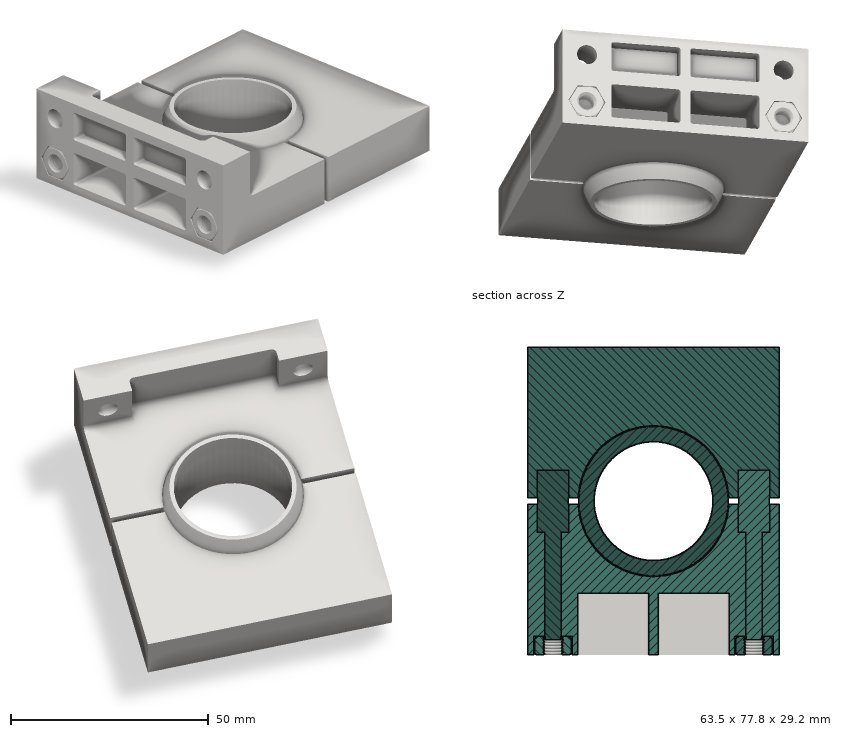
import cadquery as cq
import math


block_width = 63.5
block_length = 77.85
block_thickness = 12.7
split_gap = 1.5
half_length = (block_length - split_gap) / 2
front_y = -block_length / 2
bottom_z = -block_thickness / 2
top_z = block_thickness / 2

wall_thickness = 10.1
wall_height = 2 * block_thickness
wall_back_y = front_y + wall_thickness
relief_width = 38.2
relief_depth = 3.8
root_fillet = 1.25

bolt_spacing = 50.75
mounting_hole_diameter = 5.1
mounting_hole_z = block_thickness
pocket_width = 17.8
pocket_rib = 2.6
pocket_corner_radius = 0.6
pocket_x = (pocket_width + pocket_rib) / 2
lower_pocket_height = 9.0
lower_pocket_floor = 2.5
lower_pocket_depth = 15.6
upper_pocket_height = 7.8
upper_pocket_floor = 15.2
upper_pocket_depth = 3.9

sphere_radius = 19.0
bushing_height = 20.3
bushing_bore = 29.9

nut_across_flats = 8.0
nut_clearance = 0.2
nut_pocket_across_flats = nut_across_flats + nut_clearance
nut_height = 4.7
nut_chamfer_angle = 30.0
thread_major = 5.0
thread_minor = 4.1
thread_pitch = 0.8

shoulder_diameter = 7.95
shoulder_length = 15.6
nut_engagement = 0.8
nut_back_y = front_y + nut_height
bolt_tip_y = nut_back_y - nut_engagement

bolt_xs = (-bolt_spacing / 2, bolt_spacing / 2)


def box_between(x_range, y_range, z_range):
    """Box spanning the given ranges along X, Y and Z."""
    (x0, x1), (y0, y1), (z0, z1) = x_range, y_range, z_range
    return cq.Workplane("XY").box(x1 - x0, y1 - y0, z1 - z0, centered=False).translate((x0, y0, z0))


def along_y(start_y):
    """Sketch plane at start_y with X to the right and Z up; a negative extrusion goes toward +Y."""
    return cq.Workplane("XZ", origin=(0, start_y, 0))


def rod(x, z, diameter, start_y, end_y):
    """Cylinder along Y."""
    return along_y(start_y).center(x, z).circle(diameter / 2).extrude(start_y - end_y)


def hex_prism(x, across_flats, length):
    """Hexagonal prism reaching inward from the front face, with two flats level."""
    across_corners = across_flats / math.cos(math.radians(30))
    return along_y(front_y).center(x, 0).polygon(6, across_corners).extrude(-length)


def face_pocket(x, floor_height, height, depth):
    """Round-cornered rectangular pocket in the front face."""
    centre_z = bottom_z + floor_height + height / 2
    return (
        along_y(front_y).center(x, centre_z)
        .rect(pocket_width, height)
        .extrude(-depth)
        .edges("|Y").fillet(pocket_corner_radius)
    )


def make_bolt(x):
    """Shoulder bolt: the shoulder bridges the split and the shank ends inside the nut."""
    shoulder = rod(x, 0, shoulder_diameter, -shoulder_length / 2, shoulder_length / 2)
    shank = rod(x, 0, thread_minor, bolt_tip_y, -shoulder_length / 2)
    return shoulder.union(shank)


def make_nut(x):
    """Hexagonal nut with chamfered corners and ring-shaped thread grooves."""
    corner_radius = nut_across_flats / math.sqrt(3)
    flat_radius = nut_across_flats / 2
    chamfer_length = (corner_radius - flat_radius) * math.tan(math.radians(nut_chamfer_angle))
    envelope = (
        cq.Workplane("XY")
        .polyline([
            (0, 0),
            (flat_radius, 0),
            (corner_radius, chamfer_length),
            (corner_radius, nut_height - chamfer_length),
            (flat_radius, nut_height),
            (0, nut_height),
        ])
        .close()
        .revolve(360, (0, 0), (0, 1))
        .translate((x, front_y, 0))
    )
    bore_points = [(0, 0), (thread_major / 2, 0)]
    for turn in range(round(nut_height / thread_pitch)):
        bore_points.append((thread_minor / 2, (turn + 0.5) * thread_pitch))
        bore_points.append((thread_major / 2, (turn + 1) * thread_pitch))
    bore_points.append((0, nut_height))
    bore = (
        cq.Workplane("XY")
        .polyline(bore_points)
        .close()
        .revolve(360, (0, 0), (0, 1))
        .translate((x, front_y, 0))
    )
    return hex_prism(x, nut_across_flats, nut_height).intersect(envelope).cut(bore)


def make_bushing():
    """Spherical bushing with flat ends and a straight bore."""
    ends = cq.Workplane("XY").box(2 * sphere_radius, 2 * sphere_radius, bushing_height)
    bore = cq.Workplane("XY", origin=(0, 0, -bushing_height / 2)).circle(bushing_bore / 2).extrude(bushing_height)
    return cq.Workplane("XY").sphere(sphere_radius).intersect(ends).cut(bore)


def make_wall_clearance():
    """Space above the base and behind the wall, rounded along the wall's root."""
    wall_top = bottom_z + wall_height
    behind_wall = box_between(
        (-block_width / 2, block_width / 2), (wall_back_y, -split_gap / 2), (top_z, wall_top))
    relief = box_between(
        (-relief_width / 2, relief_width / 2), (wall_back_y - relief_depth, -split_gap / 2), (top_z, wall_top))
    relief = relief.edges("|Z and <Y").fillet(root_fillet)
    root_edges = cq.selectors.BoxSelector(
        (-block_width, front_y, top_z - root_fillet),
        (block_width, wall_back_y + root_fillet, top_z + root_fillet),
    )
    clearance = behind_wall.union(relief)
    return clearance.faces("<Z").edges(root_edges).fillet(root_fillet)


def make_base():
    """Base half: slab and mounting wall, with its face pockets, holes and seats."""
    base = box_between(
        (-block_width / 2, block_width / 2), (front_y, -split_gap / 2), (bottom_z, bottom_z + wall_height))
    base = base.cut(make_wall_clearance()).cut(cq.Workplane("XY").sphere(sphere_radius))
    for x in (-pocket_x, pocket_x):
        base = base.cut(face_pocket(x, lower_pocket_floor, lower_pocket_height, lower_pocket_depth))
        base = base.cut(face_pocket(x, upper_pocket_floor, upper_pocket_height, upper_pocket_depth))
    for x in bolt_xs:
        base = base.cut(rod(x, mounting_hole_z, mounting_hole_diameter, front_y, wall_back_y))
        base = base.cut(hex_prism(x, nut_pocket_across_flats, nut_height))
        base = base.cut(make_bolt(x))
    return base


def make_cap():
    """Cap half: plain slab with the bushing seat and the bolt holes."""
    cap = box_between(
        (-block_width / 2, block_width / 2), (split_gap / 2, split_gap / 2 + half_length), (bottom_z, top_z))
    cap = cap.cut(cq.Workplane("XY").sphere(sphere_radius))
    for x in bolt_xs:
        cap = cap.cut(make_bolt(x))
    return cap


base = make_base()
cap = make_cap()
bushing = make_bushing()
nuts = [make_nut(x) for x in bolt_xs]
bolts = [make_bolt(x) for x in bolt_xs]

result = cq.Compound.makeCompound([
    base.val(),
    cap.val(),
    bushing.val(),
    *[nut.val() for nut in nuts],
    *[bolt.val() for bolt in bolts],
])